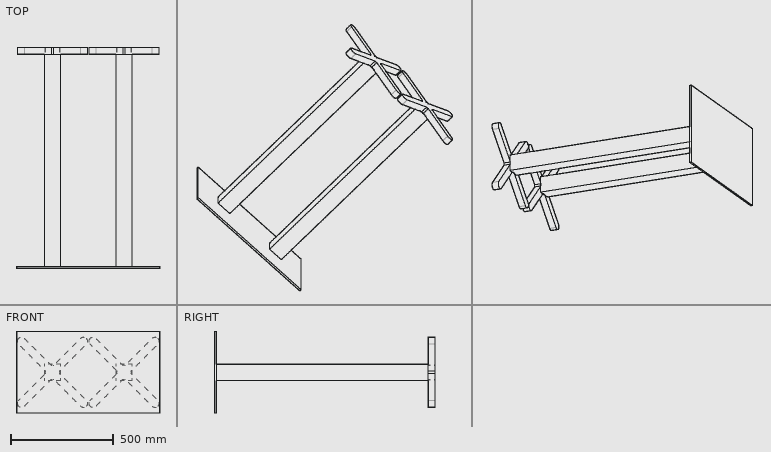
import cadquery as cq
import math

PLATE_WIDTH = 700.0
PLATE_HEIGHT = 400.0
PLATE_THICKNESS = 10.0

TOTAL_DEPTH = 1080.0
POST_SIDE = 80.0
POST_SPACING = PLATE_WIDTH / 2

CROSS_THICKNESS = 35.0
ARM_LENGTH = 234.0
ARM_WIDTH = 40.0
ARM_ANGLES = (45, 135)
NOTCH_ROUND_RADIUS = 8.1

PLATE_FRONT_Y = -TOTAL_DEPTH / 2
POST_START_Y = PLATE_FRONT_Y + PLATE_THICKNESS
CROSS_BACK_Y = TOTAL_DEPTH / 2
CROSS_START_Y = CROSS_BACK_Y - CROSS_THICKNESS
POST_LENGTH = CROSS_START_Y - POST_START_Y


def plane_at(x, y):
    """XZ sketch plane at the given place, with its normal along +Y.

    Local x points along -X, local y along +Z.
    """
    return cq.Plane(origin=(x, y, 0), xDir=(-1, 0, 0), normal=(0, 1, 0))


def make_plate():
    return (
        cq.Workplane(plane_at(0, PLATE_FRONT_Y))
        .rect(PLATE_WIDTH, PLATE_HEIGHT)
        .extrude(PLATE_THICKNESS)
    )


def make_post(x):
    return cq.Workplane(plane_at(x, POST_START_Y)).rect(POST_SIDE, POST_SIDE).extrude(POST_LENGTH)


def make_cross(x):
    """Two round-ended bars crossing at right angles, with a small round in each notch."""
    sketch_plane = cq.Workplane(plane_at(x, CROSS_START_Y))
    notch_distance = ARM_WIDTH / math.sqrt(2)
    cross = (
        sketch_plane
        .polarArray(notch_distance, 0, 360, 4)
        .circle(NOTCH_ROUND_RADIUS)
        .extrude(CROSS_THICKNESS)
    )
    for angle in ARM_ANGLES:
        bar = sketch_plane.slot2D(2 * ARM_LENGTH, ARM_WIDTH, angle).extrude(CROSS_THICKNESS)
        cross = cross.union(bar)
    return cross


plate = make_plate()
posts = []
crosses = []
for post_x in (-POST_SPACING / 2, POST_SPACING / 2):
    posts.append(make_post(post_x))
    crosses.append(make_cross(post_x))

result = cq.Compound.makeCompound([
    plate.val(),
    *[post.val() for post in posts],
    *[cross.val() for cross in crosses],
])